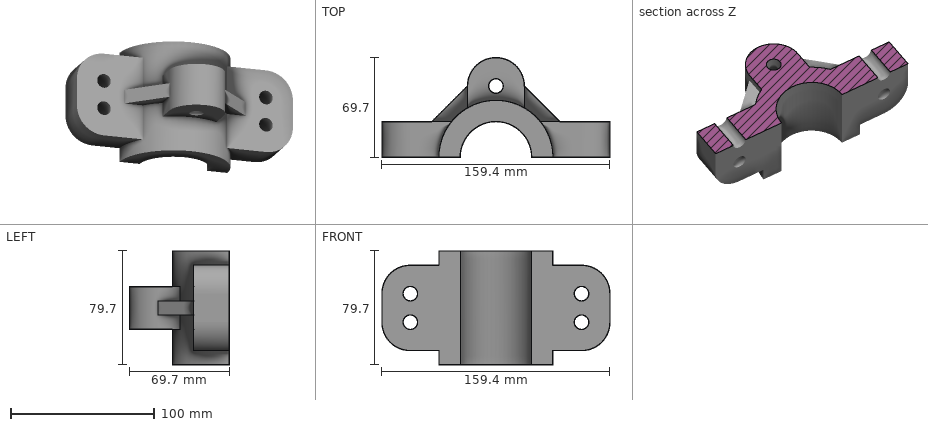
import cadquery as cq


MODULE = 9.96375

SHELL_RADIUS = 4 * MODULE
BORE_RADIUS = 2.5 * MODULE
SHELL_HEIGHT = 8 * MODULE

FLANGE_LENGTH = 16 * MODULE
FLANGE_HEIGHT = 6 * MODULE
FLANGE_THICKNESS = 2.5 * MODULE
FLANGE_CORNER_RADIUS = 2 * MODULE
BOLT_HOLE_DIAMETER = MODULE
BOLT_SPACING_X = 12 * MODULE
BOLT_SPACING_Z = 2 * MODULE

LUG_RADIUS = 2 * MODULE
LUG_CENTER_Y = 5 * MODULE
LUG_THICKNESS = 3 * MODULE
LUG_HOLE_DIAMETER = MODULE

RIB_THICKNESS = MODULE
RIB_FOOT_X = 4.5 * MODULE


def centered_cylinder(radius, height, center_y=0):
    """Cylinder along Z, centered on the Z = 0 plane."""
    base = cq.Workplane("XY", origin=(0, center_y, -height / 2))
    return base.circle(radius).extrude(height)


def make_shell():
    """Solid half cylinder on the +Y side; the bore is cut later."""
    back_half = cq.Workplane("XY").box(
        2 * SHELL_RADIUS, SHELL_RADIUS, SHELL_HEIGHT, centered=(True, False, True)
    )
    return centered_cylinder(SHELL_RADIUS, SHELL_HEIGHT).intersect(back_half)


def make_flange():
    """Rounded plate spanning both sides of the shell."""
    plate = cq.Workplane("XY").box(
        FLANGE_LENGTH, FLANGE_THICKNESS, FLANGE_HEIGHT, centered=(True, False, True)
    )
    return plate.edges("|Y").fillet(FLANGE_CORNER_RADIUS)


def make_lug():
    """Round-ended lug reaching back from the flange plate."""
    outline = (
        cq.Workplane("XY", origin=(0, 0, -LUG_THICKNESS / 2))
        .moveTo(-LUG_RADIUS, FLANGE_THICKNESS)
        .lineTo(LUG_RADIUS, FLANGE_THICKNESS)
        .lineTo(LUG_RADIUS, LUG_CENTER_Y)
        .threePointArc((0, LUG_CENTER_Y + LUG_RADIUS), (-LUG_RADIUS, LUG_CENTER_Y))
        .close()
    )
    return outline.extrude(LUG_THICKNESS)


def make_ribs():
    """One trapezoid web that forms the sloping rib on each side of the lug."""
    outline = [
        (-RIB_FOOT_X, FLANGE_THICKNESS),
        (RIB_FOOT_X, FLANGE_THICKNESS),
        (LUG_RADIUS, LUG_CENTER_Y),
        (-LUG_RADIUS, LUG_CENTER_Y),
    ]
    base = cq.Workplane("XY", origin=(0, 0, -RIB_THICKNESS / 2))
    return base.polyline(outline).close().extrude(RIB_THICKNESS)


def make_bolt_holes():
    """Four through holes along Y, two in each flange."""
    return (
        cq.Workplane("XZ")
        .rarray(BOLT_SPACING_X, BOLT_SPACING_Z, 2, 2)
        .circle(BOLT_HOLE_DIAMETER / 2)
        .extrude(-FLANGE_THICKNESS)
    )


body = make_shell().union(make_flange()).union(make_lug()).union(make_ribs())
bore = centered_cylinder(BORE_RADIUS, SHELL_HEIGHT)
lug_hole = centered_cylinder(LUG_HOLE_DIAMETER / 2, LUG_THICKNESS, LUG_CENTER_Y)

result = body.cut(bore).cut(make_bolt_holes()).cut(lug_hole)